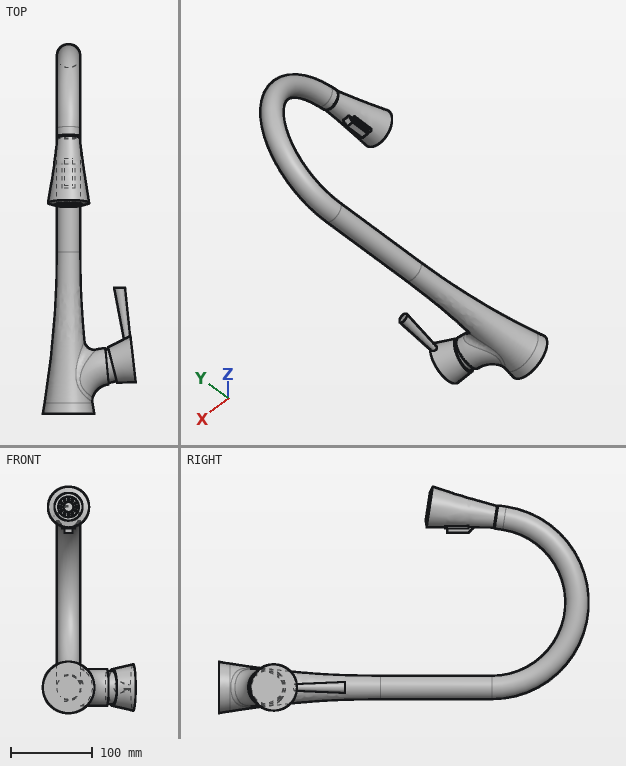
import cadquery as cq
import math

base_radius = 31.5
base_height = 13.5
base_top_radius = 29.5
tube_radius = 14.5
body_length = 197.5
straight_end = 333.5
bend_radius = 452.0 - tube_radius - straight_end
head_tilt = 8.5

collar_length = 10.0
groove_width = 1.5
groove_depth = 1.0
neck_radius = 13.5
head_length = 92.0
head_radius = 25.5
flare_sag = 0.5
rim_height = 2.5
face_radius = 17.0
face_step = 1.5
ring_radius = 12.5
ring_depth = 1.5
centre_radius = 6.5
nozzle_count = 12
nozzle_radius = 1.0
nozzle_circle = 9.5

trigger_front = 279.0
trigger_back = 305.0
trigger_slope = 7.0
trigger_bottom = 189.0
trigger_width = 10.0
plate_bottom = 194.5
plate_top = 201.0
plate_overhang = 2.5
plate_width = 16.3

branch_radius = 22.5
branch_tilt = 5.3
branch_end = (47.0, 58.5)
elbow_inner_radius = 22.5
elbow_angle = 90
branch_fillet = 11.5
joint_clearance = 1.5

knob_tilt = 14.4
knob_start = (53.8, 59.5)
knob_start_radius = 22.5
knob_half_angle = 12.6
knob_face_point = (79.0, 66.0)
knob_face_tilt = 6.5
knob_blank_length = 45.0
knob_neck_radius = 20.5
knob_neck_length = 13.5

lever_tilt = 8.4
lever_root = (71.0, 96.0)
lever_tip_y = 154.0
lever_root_radius = 4.3
lever_tip_radius = 7.0
lever_embed = 13.5


def axial_plane(point, tilt):
    """Plane at a point of the XY plane, with its normal at the tilt angle from +X."""
    angle = math.radians(tilt)
    normal = (math.cos(angle), math.sin(angle), 0)
    return cq.Plane(origin=(point[0], point[1], 0), xDir=(0, 0, 1), normal=normal)


def make_body():
    """Conical base below a flare that narrows in a long hollow curve to the spout tube."""
    flare = base_top_radius - tube_radius
    flare_length = body_length - base_height
    arc_radius = (flare_length**2 + flare**2) / (2 * flare)
    half = flare_length / 2
    mid_radius = tube_radius + arc_radius - math.sqrt(arc_radius**2 - half**2)
    return (
        cq.Workplane("XY")
        .lineTo(base_radius, 0)
        .lineTo(base_top_radius, base_height)
        .spline([(mid_radius, base_height + half), (tube_radius, body_length)], includeCurrent=True)
        .lineTo(0, body_length)
        .close()
        .revolve(360, (0, 0), (0, 1))
        .rotate((0, 0, 0), (0, 1, 0), 180)
    )


def bend_point(angle):
    """Point of the bend centre line at an angle above +Y, as (Y, Z)."""
    a = math.radians(angle)
    return (straight_end + bend_radius * math.cos(a), bend_radius + bend_radius * math.sin(a))


bend_end = bend_point(90 - head_tilt)


def make_spout():
    """Round tube along the straight run and the bend."""
    path = (
        cq.Workplane("YZ")
        .moveTo(body_length, 0)
        .lineTo(straight_end, 0)
        .threePointArc(bend_point(0), bend_end)
    )
    return cq.Workplane("XZ", origin=(0, body_length, 0)).circle(tube_radius).sweep(path)


def make_head():
    """Flared spray head with a collar, a groove and a stepped face carrying a ring of nozzles."""
    tilt = math.radians(head_tilt)
    axis = (0, -math.cos(tilt), math.sin(tilt))
    plane = cq.Plane(origin=(0, bend_end[0], bend_end[1]), xDir=(1, 0, 0), normal=axis)
    flare_start = collar_length + groove_width
    flare_mid = (flare_start + head_length) / 2
    flare_mid_radius = (neck_radius + head_radius) / 2 - flare_sag
    face = head_length + rim_height
    inner_face = face - face_step
    ring_floor = inner_face - ring_depth
    profile = (
        cq.Workplane("XY")
        .lineTo(tube_radius, 0)
        .lineTo(tube_radius, collar_length)
        .lineTo(neck_radius - groove_depth, collar_length)
        .lineTo(neck_radius - groove_depth, flare_start)
        .lineTo(neck_radius, flare_start)
        .spline([(flare_mid_radius, flare_mid), (head_radius, head_length)], includeCurrent=True)
        .lineTo(face_radius, face)
        .lineTo(face_radius, inner_face)
        .lineTo(ring_radius, inner_face)
        .lineTo(ring_radius, ring_floor)
        .lineTo(centre_radius, ring_floor)
        .lineTo(centre_radius, inner_face)
        .lineTo(0, inner_face)
        .close()
    )
    shape = profile.revolve(360, (0, 0), (0, 1)).rotate((0, 0, 0), (1, 0, 0), 90)
    head = cq.Workplane(obj=shape.val().moved(cq.Location(plane)))
    nozzles = (
        cq.Workplane(plane)
        .workplane(offset=ring_floor - ring_depth)
        .polarArray(nozzle_circle, 0, 360, nozzle_count)
        .circle(nozzle_radius)
        .extrude(2 * ring_depth)
    )
    return head.union(nozzles)


def make_trigger():
    """Button with a sloped back edge, standing on a wider plate sunk into the head."""
    plate_front = trigger_front - plate_overhang
    plate_length = trigger_back - plate_front
    button = (
        cq.Workplane("YZ", origin=(-trigger_width / 2, 0, 0))
        .moveTo(trigger_front, plate_top)
        .lineTo(trigger_front, trigger_bottom)
        .lineTo(trigger_back, trigger_bottom)
        .lineTo(trigger_back + trigger_slope, trigger_bottom + trigger_slope)
        .lineTo(trigger_back + trigger_slope, plate_top)
        .close()
        .extrude(trigger_width)
    )
    plate = (
        cq.Workplane("XY", origin=(0, plate_front + plate_length / 2, plate_bottom))
        .rect(plate_width, plate_length)
        .extrude(plate_top - plate_bottom)
    )
    return button.union(plate)


def make_branch():
    """Straight barrel, and a quarter elbow that rounds the barrel into the body on its base side."""
    plane = axial_plane(branch_end, branch_tilt)
    length = branch_end[0] / math.cos(math.radians(branch_tilt))
    barrel = cq.Workplane(plane).circle(branch_radius).extrude(-length)
    pivot_distance = branch_radius + elbow_inner_radius
    elbow = (
        cq.Workplane(plane)
        .circle(branch_radius)
        .revolve(elbow_angle, (0, pivot_distance), (1, pivot_distance))
    )
    return barrel.union(elbow)


def make_valve_body():
    """Body and branch, with their joint rounded."""
    valve_body = make_body().union(make_branch())
    joint = cq.selectors.BoxSelector(
        (-base_radius, base_height + joint_clearance, -base_radius),
        (branch_end[0] / 2, branch_end[1] + branch_radius, base_radius),
    )
    return valve_body.edges(joint).fillet(branch_fillet)


def make_knob():
    """Conical knob on a thinner neck, its end face cut oblique to its axis."""
    plane = axial_plane(knob_start, knob_tilt)
    blank_radius = knob_start_radius + knob_blank_length * math.tan(math.radians(knob_half_angle))
    blank = (
        cq.Workplane(plane)
        .circle(knob_start_radius)
        .workplane(offset=knob_blank_length)
        .circle(blank_radius)
        .loft()
    )
    face_plane = axial_plane(knob_face_point, knob_face_tilt)
    beyond_face = cq.Workplane(face_plane).circle(2 * blank_radius).extrude(knob_blank_length)
    neck = cq.Workplane(plane).circle(knob_neck_radius).extrude(-knob_neck_length)
    return blank.cut(beyond_face).union(neck)


def make_lever():
    """Slim cone that widens from the knob to a tip cut square to Y."""
    tilt = math.radians(lever_tilt)
    axis = (-math.sin(tilt), math.cos(tilt), 0)
    rise = lever_tip_y - lever_root[1]
    length = rise / math.cos(tilt)
    taper = (lever_tip_radius - lever_root_radius) / length
    start = cq.Vector(lever_root[0], lever_root[1], 0) - cq.Vector(axis) * lever_embed
    cone_length = length + 2 * lever_embed
    start_radius = lever_root_radius - taper * lever_embed
    end_radius = start_radius + taper * cone_length
    cone = cq.Solid.makeCone(start_radius, end_radius, cone_length, start, cq.Vector(axis))
    tip_plane = cq.Workplane("XZ", origin=(lever_root[0], lever_tip_y, 0))
    beyond_tip = tip_plane.circle(cone_length).extrude(-cone_length)
    return cq.Workplane(obj=cone).cut(beyond_tip)


result = (
    make_valve_body()
    .union(make_knob())
    .union(make_lever())
    .union(make_spout())
    .union(make_head())
    .union(make_trigger())
)